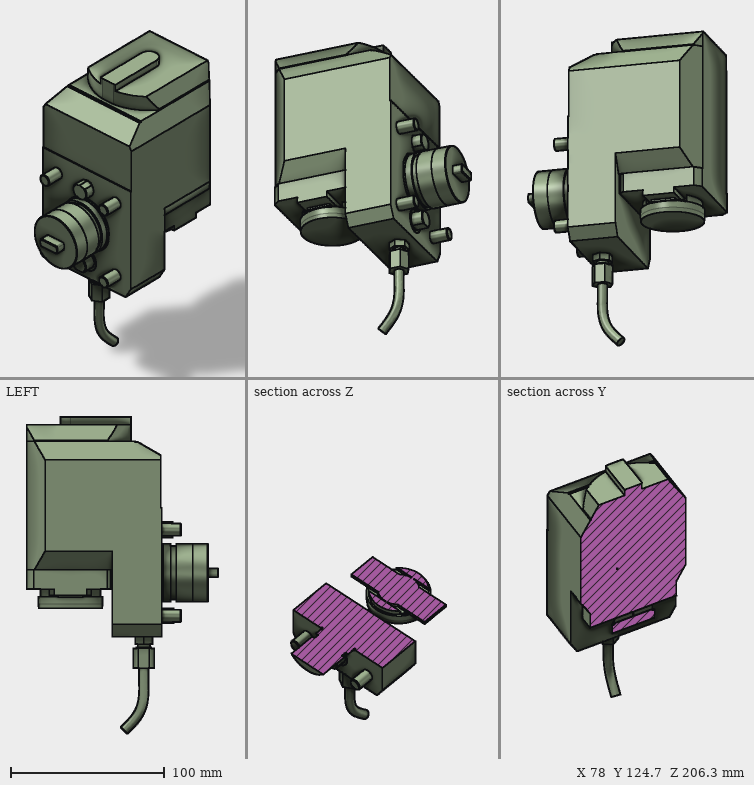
import cadquery as cq
import math


half_width = 39.0
bevel_height = 12.0
bevel_slope = math.tan(math.radians(60))
narrow_half_width = half_width - bevel_height / bevel_slope
shoulder_z = 73.4
housing_top_z = 85.7
back_y = 88.0
back_corner = 12.0
belly_bevel_top_z = 14.0
belly_bevel_bottom_z = belly_bevel_top_z - bevel_height
belly_bottom_z = -10.7
belly_radius = 40.0
belly_seat_half_width = 30.1
belly_seat_y = 33.2

plate_back_y = 32.4
plate_joint_y = 17.4
plate_bottom_z = -41.8
plate_top_z = 85.2
plate_foot_x = 4.8
plate_foot_z = 8.2
relief_z = 42.3
relief_depth = 0.6
brow_z = 76.4
brow_y = 15.8

tool_axis_y = 59.5
cap_top_z = 96.4
cap_radius = 39.8
cap_front_y = 20.0
seam_height = 0.6
seam_inset = 0.4
cap_corner_setback = 0.3
key_top_z = 101.4
key_half_width = 6.6

shank_diameter = 38.0
shank_front_diameter = 37.9
shank_root_diameter = 37.6
shank_groove_diameter = 35.0
shank_collar_start_y = -1.0
shank_groove_start_y = -5.6
shank_groove_end_y = -9.2
shank_joint_y = -20.0
shank_end_y = -30.0
shank_chamfer = 0.4
bore_diameter = 39.2
bore_depth = 1.0
tang_width = 15.4
tang_height = 6.0
tang_corner = 1.0
tang_chamfer = 0.5
tang_end_y = -36.7

pin_spacing_half_x = 26.0
pin_z = 28.0
screw_diameter = 8.15
screw_length = 12.5
pin_chamfer = 0.5
locator_diameter = 12.0
locator_hole_depth = 1.0
diamond_length = 6.9
diamond_ridge = 5.3
diamond_slope = 0.28
flat_pin_length = 7.6
flat_pin_half_height = 4.8
flat_pin_recess_diameter = 15.8
flat_pin_recess_depth = 0.5

spindle_diameter = 39.2
flange_diameter = 42.0
flange_end_diameter = 41.3
flange_top_z = -15.6
flange_taper_z = -20.1
spindle_end_z = -23.2
slot_width = 27.3
slot_bottom_z = -14.5
slot_hub_diameter = slot_width
tongue_width = 21.1
tab_width = 15.9
tab_bottom_z = -15.9
tab_outer_x = 22.0

gland_y = 11.8
upper_nut_flats = 11.35
upper_nut_bottom_z = -46.4
neck_diameter = 8.15
collar_diameter = 9.8
collar_top_z = -48.4
lower_nut_flats = 12.0
lower_nut_top_z = -49.2
lower_nut_bottom_z = -62.0
cable_diameter = 6.37
cable_bend_drop = 16.5
cable_bend_radius = 27.0
cable_bend_angle = math.radians(45)
cable_heading = math.radians(6)
cable_tail = 7.13


def prism_y(points, y_start, y_end):
    """Prism of an X-Z outline between two Y positions; the XZ plane faces -Y."""
    outline = cq.Workplane("XZ", origin=(0, y_start, 0)).polyline(points).close()
    return outline.extrude(y_start - y_end)


def prism_x(points, half_length):
    """Prism of a Y-Z outline, centred on X = 0."""
    return cq.Workplane("YZ").polyline(points).close().extrude(half_length, both=True)


def rod_y(diameter, y_start, y_end, x=0.0, z=0.0):
    """Round rod along Y."""
    face = cq.Workplane("XZ", origin=(x, y_start, z)).circle(diameter / 2)
    return face.extrude(y_start - y_end)


def rod_z(diameter, z_start, z_end, y):
    """Round rod along Z on the symmetry plane."""
    face = cq.Workplane("XY", origin=(0, y, z_start)).circle(diameter / 2)
    return face.extrude(z_end - z_start)


def block(x_start, x_end, y_start, y_end, z_start, z_end):
    """Axis-aligned box given by its limits."""
    size = (x_end - x_start, y_end - y_start, z_end - z_start)
    return cq.Workplane("XY").box(*size, centered=False).translate((x_start, y_start, z_start))


def mirrored(points):
    """Close a right-hand outline, listed bottom to top, with its mirror image."""
    return points + [(-x, z) for x, z in reversed(points)]


def upper_edge_x(z):
    """Half width of the sloped upper edges at a given height."""
    return half_width - (z - shoulder_z) / bevel_slope


def make_plate():
    outline = mirrored([
        (half_width - plate_foot_x, plate_bottom_z),
        (half_width, plate_bottom_z + plate_foot_z),
        (half_width, shoulder_z),
        (upper_edge_x(plate_top_z), plate_top_z),
    ])
    side = [
        (0, plate_bottom_z),
        (plate_back_y, plate_bottom_z),
        (plate_back_y, plate_top_z),
        (brow_y, plate_top_z),
        (relief_depth, brow_z),
        (relief_depth, relief_z),
        (0, relief_z),
    ]
    return prism_y(outline, 0, plate_back_y).intersect(prism_x(side, half_width))


def make_body():
    outline = mirrored([
        (narrow_half_width, belly_bevel_bottom_z),
        (half_width, belly_bevel_top_z),
        (half_width, shoulder_z),
        (upper_edge_x(housing_top_z), housing_top_z),
    ])
    return prism_y(outline, plate_joint_y, back_y)


def make_belly():
    """Narrow lower part of the body, with the seat that meets the mounting plate."""
    belly = block(
        -narrow_half_width, narrow_half_width,
        plate_joint_y, back_y,
        belly_bottom_z, belly_bevel_bottom_z,
    )
    belly = belly.intersect(rod_z(2 * belly_radius, belly_bottom_z, belly_bevel_bottom_z, tool_axis_y))
    seat = block(
        -belly_seat_half_width, belly_seat_half_width,
        plate_joint_y, belly_seat_y,
        belly_bottom_z, belly_bevel_bottom_z,
    )
    return belly.union(seat)


def make_cap():
    seam_top_z = housing_top_z + seam_height
    seam_x = upper_edge_x(housing_top_z) - seam_inset
    outline = mirrored([
        (seam_x, housing_top_z),
        (seam_x, seam_top_z),
        (upper_edge_x(seam_top_z), seam_top_z),
        (upper_edge_x(cap_top_z), cap_top_z),
    ])
    cap = prism_y(outline, cap_front_y, back_y)
    rounded = rod_z(2 * cap_radius, housing_top_z, cap_top_z, tool_axis_y)
    rear = block(-half_width, half_width, tool_axis_y, back_y, housing_top_z, cap_top_z)
    return cap.intersect(rounded.union(rear))


def make_key():
    bar = block(-key_half_width, key_half_width, cap_front_y, tool_axis_y, housing_top_z, key_top_z)
    bar = bar.union(rod_z(2 * key_half_width, housing_top_z, key_top_z, tool_axis_y))
    return bar.intersect(rod_z(2 * cap_radius, housing_top_z, key_top_z, tool_axis_y))


def cut_back_corners(solid, size):
    """Bevel the two rear vertical edges of the full-width housing at 45 degrees."""
    for side in (-1, 1):
        corner = [
            (side * half_width, back_y),
            (side * (half_width - size), back_y),
            (side * half_width, back_y - size),
        ]
        wedge = cq.Workplane("XY", origin=(0, 0, plate_bottom_z)).polyline(corner).close()
        solid = solid.cut(wedge.extrude(key_top_z - plate_bottom_z))
    return solid


def make_shank():
    root = rod_y(shank_root_diameter, bore_depth, shank_collar_start_y)
    collar = rod_y(shank_diameter, shank_collar_start_y, shank_groove_start_y)
    groove = rod_y(shank_groove_diameter, shank_groove_start_y, shank_groove_end_y)
    barrel = rod_y(shank_diameter, shank_groove_end_y, shank_joint_y)
    front = rod_y(shank_front_diameter, shank_joint_y, shank_end_y)
    front = front.faces("<Y").chamfer(shank_chamfer)
    tang = rod_y(tang_width, shank_end_y, tang_end_y)
    half_height = tang_height / 2
    tang = tang.intersect(block(-tang_width, tang_width, tang_end_y, 0, -half_height, half_height))
    tang = tang.edges("|Y").fillet(tang_corner).faces("<Y").chamfer(tang_chamfer)
    return root.union(collar).union(groove).union(barrel).union(front).union(tang)


def add_screws(solid):
    for x in (-pin_spacing_half_x, pin_spacing_half_x):
        for z in (-pin_z, pin_z):
            screw = rod_y(screw_diameter, 0, -screw_length, x, z)
            solid = solid.union(screw.faces("<Y").chamfer(pin_chamfer))
    return solid


def make_locator(z, length, outline):
    """Round locating pin trimmed to an X-Z outline, standing in its hole."""
    pin = rod_y(locator_diameter, locator_hole_depth, -length, 0, z)
    pin = pin.faces("<Y").chamfer(pin_chamfer)
    return pin.intersect(prism_y(outline, locator_hole_depth, -length).translate((0, 0, z)))


def make_diamond_pin():
    land_x = locator_diameter / 2
    land_z = diamond_ridge - diamond_slope * land_x
    outline = [
        (0, -diamond_ridge),
        (land_x, -land_z),
        (land_x, land_z),
        (0, diamond_ridge),
        (-land_x, land_z),
        (-land_x, -land_z),
    ]
    return make_locator(pin_z, diamond_length, outline)


def make_flat_pin():
    land_x = locator_diameter / 2
    outline = mirrored([(land_x, -flat_pin_half_height), (land_x, flat_pin_half_height)])
    return make_locator(-pin_z, flat_pin_length, outline)


def cut_face_openings(solid):
    solid = solid.cut(rod_y(bore_diameter, 0, bore_depth))
    for z in (-pin_z, pin_z):
        solid = solid.cut(rod_y(locator_diameter, 0, locator_hole_depth, 0, z))
    return solid.cut(rod_y(flat_pin_recess_diameter, 0, flat_pin_recess_depth, 0, -pin_z))


def make_spindle():
    profile = [
        (0, belly_bottom_z),
        (spindle_diameter / 2, belly_bottom_z),
        (spindle_diameter / 2, flange_top_z),
        (flange_diameter / 2, flange_top_z),
        (flange_diameter / 2, flange_taper_z),
        (flange_end_diameter / 2, spindle_end_z),
        (0, spindle_end_z),
    ]
    spindle = cq.Workplane("XZ").polyline(profile).close().revolve(360, (0, 0), (0, 1))
    spindle = spindle.translate((0, tool_axis_y, 0))
    slot = block(
        -flange_diameter, flange_diameter,
        tool_axis_y - slot_width / 2, tool_axis_y + slot_width / 2,
        slot_bottom_z, belly_bottom_z,
    )
    hub = rod_z(slot_hub_diameter, slot_bottom_z, belly_bottom_z, tool_axis_y)
    tongue = block(
        -narrow_half_width, narrow_half_width,
        tool_axis_y - tongue_width / 2, tool_axis_y + tongue_width / 2,
        slot_bottom_z, belly_bottom_z,
    )
    tab = block(
        -tab_outer_x, tab_outer_x,
        tool_axis_y - tab_width / 2, tool_axis_y + tab_width / 2,
        tab_bottom_z, slot_bottom_z,
    )
    return spindle.cut(slot).union(hub).union(tongue).union(tab)


def make_nut(flats, z_top, z_bottom, turn):
    """Hexagonal nut on the gland axis; turn 0 puts two corners along X."""
    corners = flats / math.cos(math.radians(30))
    nut = cq.Workplane("XY").polygon(6, corners).extrude(z_top - z_bottom)
    return nut.rotate((0, 0, 0), (0, 0, 1), turn).translate((0, gland_y, z_bottom))


def make_gland():
    upper_nut = make_nut(upper_nut_flats, plate_bottom_z, upper_nut_bottom_z, 0)
    neck = rod_z(neck_diameter, lower_nut_top_z, upper_nut_bottom_z, gland_y)
    collar = rod_z(collar_diameter, lower_nut_top_z, collar_top_z, gland_y)
    lower_nut = make_nut(lower_nut_flats, lower_nut_top_z, lower_nut_bottom_z, 90)
    return upper_nut.union(neck).union(collar).union(lower_nut)


def make_cable():
    bend_plane = cq.Plane(
        origin=(0, gland_y, lower_nut_bottom_z),
        xDir=(math.sin(cable_heading), math.cos(cable_heading), 0),
        normal=(math.cos(cable_heading), -math.sin(cable_heading), 0),
    )

    def on_bend(angle):
        across = cable_bend_radius * (1 - math.cos(angle))
        down = cable_bend_drop + cable_bend_radius * math.sin(angle)
        return across, -down

    tail_direction = (math.sin(cable_bend_angle), -math.cos(cable_bend_angle))
    bend_end = on_bend(cable_bend_angle)
    tail_end = tuple(p + cable_tail * d for p, d in zip(bend_end, tail_direction))
    straight = [(0, 0), (0, -cable_bend_drop / 2), on_bend(0)]
    points = straight + [on_bend(cable_bend_angle / 2), bend_end, tail_end]
    path = cq.Workplane(bend_plane).spline(points, tangents=[(0, -1), tail_direction])
    section = cq.Workplane("XY", origin=(0, gland_y, lower_nut_bottom_z)).circle(cable_diameter / 2)
    return section.sweep(path)


housing = cut_back_corners(make_body(), back_corner)
housing = housing.union(cut_back_corners(make_cap(), back_corner + cap_corner_setback))
housing = housing.union(make_key()).union(make_belly())
housing = cut_face_openings(housing.union(make_plate()))
housing = add_screws(housing)

result = housing
for feature in (
    make_shank(),
    make_diamond_pin(),
    make_flat_pin(),
    make_spindle(),
    make_gland(),
    make_cable(),
):
    result = result.union(feature)